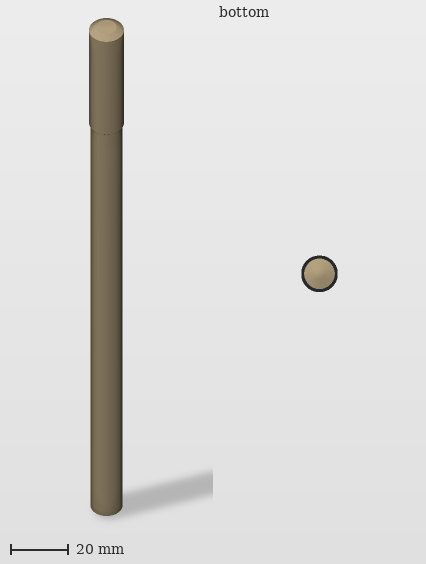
import cadquery as cq
import math

OVERALL_LENGTH = 228.0
SHANK_DIAMETER = 12.0
DRILL_DIAMETER = 11.2
TOP_FLAT_DIAMETER = 7.0
TOP_CHAMFER_ANGLE = 30.0
POINT_SLOPE_ANGLE = 20.0
USABLE_TOP_Z = 140.0
CUTTING_TOP_Z = 176.5
NECK_TOP_Z = 182.5
SHANK_TAPER_ANGLE = 45

SHANK_RADIUS = SHANK_DIAMETER / 2
DRILL_RADIUS = DRILL_DIAMETER / 2
TOP_FLAT_RADIUS = TOP_FLAT_DIAMETER / 2
TOP_CHAMFER_HEIGHT = (SHANK_RADIUS - TOP_FLAT_RADIUS) * math.tan(math.radians(TOP_CHAMFER_ANGLE))
SHANK_TAPER_HEIGHT = (SHANK_RADIUS - DRILL_RADIUS) / math.tan(math.radians(SHANK_TAPER_ANGLE))
POINT_HEIGHT = DRILL_RADIUS * math.tan(math.radians(POINT_SLOPE_ANGLE))


def revolve_profile(points):
    """Revolve a closed (radius, z) outline around the Z axis, keeping every outline segment as a face."""
    return cq.Workplane("XZ").polyline(points).close().revolve(360, (0, 0), (0, 1), clean=False)


def make_cutting_section():
    """Lower cylinder of the drill, ending in a shallow conical point."""
    return revolve_profile([
        (0, 0),
        (DRILL_RADIUS, POINT_HEIGHT),
        (DRILL_RADIUS, USABLE_TOP_Z),
        (DRILL_RADIUS, CUTTING_TOP_Z),
        (0, CUTTING_TOP_Z),
    ])


def make_shank():
    """Neck tapering out to the wider clamping shank, which has a chamfered top end."""
    return revolve_profile([
        (0, CUTTING_TOP_Z),
        (DRILL_RADIUS, CUTTING_TOP_Z),
        (DRILL_RADIUS, NECK_TOP_Z),
        (SHANK_RADIUS, NECK_TOP_Z + SHANK_TAPER_HEIGHT),
        (SHANK_RADIUS, OVERALL_LENGTH - TOP_CHAMFER_HEIGHT),
        (TOP_FLAT_RADIUS, OVERALL_LENGTH),
        (0, OVERALL_LENGTH),
    ])


cutting_section = make_cutting_section()
shank = make_shank()

result = cq.Compound.makeCompound([cutting_section.val(), shank.val()])